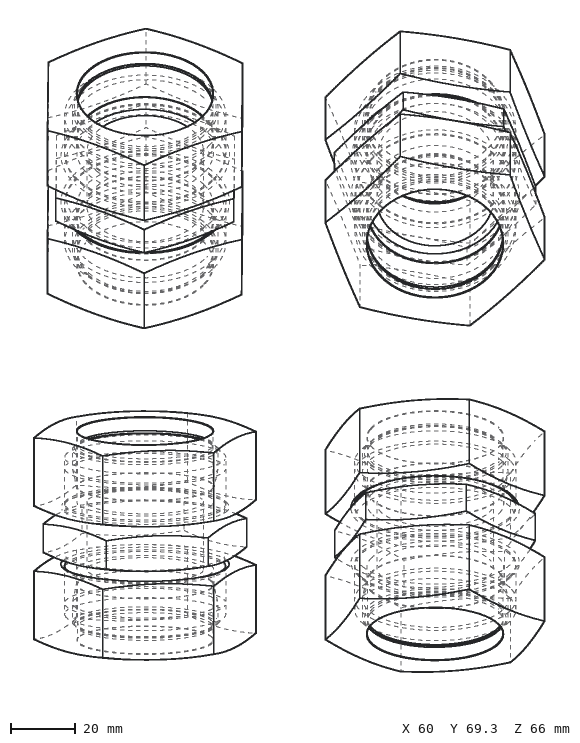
import cadquery as cq
import math


CORNER_WIDTH = 69.3
TOTAL_HEIGHT = 66.0
CORNER_RATIO = 2 / math.sqrt(3)

NUT_HEIGHT = 24.0
NUT_FLATS = CORNER_WIDTH / CORNER_RATIO
NUT_LIP_RADIUS = 42.0 / 2
NUT_LIP_LENGTH = 4.35
NUT_LIP_CHAMFER = 0.17
NUT_MOUTH_RADIUS = 52.0 / 2
CHAMFER_ANGLE = 15.0

BODY_HALF_LENGTH = 21.3
BODY_HEX_HEIGHT = 11.2
BODY_HEX_FLATS = 55.0
THREAD_RADIUS = 49.8 / 2
GROOVE_RADIUS = 49.0 / 2
GROOVE_FILLET = 1.1
GROOVE_STRAIGHT = 1.9
GROOVE_RUNOUT_ANGLE = 30.0
BORE_RADIUS = 36.0 / 2
SOCKET_RADIUS = 42.3 / 2
SOCKET_FLOOR = 10.7
MOUTH_RADIUS = 45.0 / 2
MOUTH_TAPER = 12.0

RING_BORE_RADIUS = NUT_LIP_RADIUS
RING_BOTTOM = 15.45
RING_TOP_GAP = 0.9

HALF_HEIGHT = TOTAL_HEIGHT / 2
NUT_BOTTOM = HALF_HEIGHT - NUT_HEIGHT
NUT_LIP_END = HALF_HEIGHT - NUT_LIP_LENGTH
BODY_HEX_HALF = BODY_HEX_HEIGHT / 2
GROOVE_START = BODY_HEX_HALF + GROOVE_FILLET
GROOVE_END = GROOVE_START + GROOVE_STRAIGHT
MOUTH_SLOPE = math.tan(math.radians(MOUTH_TAPER))
MOUTH_END = BODY_HALF_LENGTH - (MOUTH_RADIUS - SOCKET_RADIUS) / MOUTH_SLOPE


def revolve_profile(profile):
    """Turn a closed outline, drawn as radius and height, once around the Z axis."""
    return profile.close().revolve(360, (0, 0, 0), (0, 1, 0))


def mirror_down(solid):
    """Copy of a solid on the other side of the middle plane."""
    return solid.mirror("XY")


def chamfered_hexagon(flats, bottom, height):
    """Hexagonal prism with corners on the Y axis and conical corner chamfers at both ends."""
    corner = flats * CORNER_RATIO / 2
    chamfer_radius = flats / 2
    drop = (corner - chamfer_radius) * math.tan(math.radians(CHAMFER_ANGLE))
    top = bottom + height
    prism = (
        cq.Workplane("XY").workplane(offset=bottom)
        .polygon(6, 2 * corner).extrude(height)
        .rotate((0, 0, 0), (0, 0, 1), 90)
    )
    envelope = revolve_profile(
        cq.Workplane("XZ").moveTo(0, bottom)
        .lineTo(chamfer_radius, bottom)
        .lineTo(corner, bottom + drop)
        .lineTo(corner, top - drop)
        .lineTo(chamfer_radius, top)
        .lineTo(0, top)
    )
    return prism.intersect(envelope)


def make_nut():
    """Upper union nut: lip opening, 45 degree inner shoulder and thread bore."""
    shoulder_end = NUT_LIP_END - (THREAD_RADIUS - NUT_LIP_RADIUS)
    cavity = revolve_profile(
        cq.Workplane("XZ").moveTo(0, NUT_BOTTOM)
        .lineTo(NUT_MOUTH_RADIUS, NUT_BOTTOM)
        .lineTo(THREAD_RADIUS, NUT_BOTTOM + NUT_MOUTH_RADIUS - THREAD_RADIUS)
        .lineTo(THREAD_RADIUS, shoulder_end)
        .lineTo(NUT_LIP_RADIUS, NUT_LIP_END)
        .lineTo(NUT_LIP_RADIUS, HALF_HEIGHT - NUT_LIP_CHAMFER)
        .lineTo(NUT_LIP_RADIUS + NUT_LIP_CHAMFER, HALF_HEIGHT)
        .lineTo(0, HALF_HEIGHT)
    )
    return chamfered_hexagon(NUT_FLATS, NUT_BOTTOM, NUT_HEIGHT).cut(cavity)


def make_ring():
    """Upper cutting ring: tapered nose in the body mouth, 45 degree shoulder against the nut."""
    nose_radius = SOCKET_RADIUS + (RING_BOTTOM - MOUTH_END) * MOUTH_SLOPE
    shoulder_start = NUT_LIP_END - (MOUTH_RADIUS - NUT_LIP_RADIUS)
    ring_top = NUT_LIP_END - RING_TOP_GAP
    return revolve_profile(
        cq.Workplane("XZ").moveTo(RING_BORE_RADIUS, RING_BOTTOM)
        .lineTo(nose_radius, RING_BOTTOM)
        .lineTo(MOUTH_RADIUS, BODY_HALF_LENGTH)
        .lineTo(MOUTH_RADIUS, shoulder_start)
        .lineTo(NUT_LIP_RADIUS + RING_TOP_GAP, ring_top)
        .lineTo(RING_BORE_RADIUS, ring_top)
    )


def fillet_point(tangent_height, turn):
    """Radius and height on a groove fillet, at an angle up from its tangent point on the groove."""
    return (
        GROOVE_RADIUS + GROOVE_FILLET * (1 - math.cos(turn)),
        tangent_height + GROOVE_FILLET * math.sin(turn),
    )


def make_spigot():
    """Upper threaded end of the body, with its undercut groove, tube socket and tapered mouth."""
    fillet_edge = GROOVE_RADIUS + GROOVE_FILLET
    runout = math.radians(GROOVE_RUNOUT_ANGLE)
    cone_radius, cone_start = fillet_point(GROOVE_END, runout)
    cone_end = cone_start + (THREAD_RADIUS - cone_radius) / math.tan(runout)
    return revolve_profile(
        cq.Workplane("XZ").moveTo(BORE_RADIUS, 0)
        .lineTo(fillet_edge, 0)
        .lineTo(fillet_edge, BODY_HEX_HALF)
        .threePointArc(fillet_point(GROOVE_START, -math.pi / 4), (GROOVE_RADIUS, GROOVE_START))
        .lineTo(GROOVE_RADIUS, GROOVE_END)
        .threePointArc(fillet_point(GROOVE_END, runout / 2), (cone_radius, cone_start))
        .lineTo(THREAD_RADIUS, cone_end)
        .lineTo(THREAD_RADIUS, BODY_HALF_LENGTH)
        .lineTo(MOUTH_RADIUS, BODY_HALF_LENGTH)
        .lineTo(SOCKET_RADIUS, MOUTH_END)
        .lineTo(SOCKET_RADIUS, SOCKET_FLOOR)
        .lineTo(BORE_RADIUS, SOCKET_FLOOR)
    )


def make_body():
    """Middle hexagon with a bore and a threaded spigot on each side."""
    hexagon = chamfered_hexagon(BODY_HEX_FLATS, -BODY_HEX_HALF, BODY_HEX_HEIGHT)
    bore = cq.Workplane("XY").circle(BORE_RADIUS).extrude(BODY_HEX_HEIGHT, both=True)
    spigot = make_spigot()
    return hexagon.cut(bore).union(spigot).union(mirror_down(spigot))


body = make_body()

nuts = []
rings = []
for on_lower_end in (False, True):
    nut = make_nut()
    ring = make_ring()
    if on_lower_end:
        nut = mirror_down(nut)
        ring = mirror_down(ring)
    nuts.append(nut)
    rings.append(ring)

result = cq.Compound.makeCompound([piece.val() for piece in (body, *nuts, *rings)])